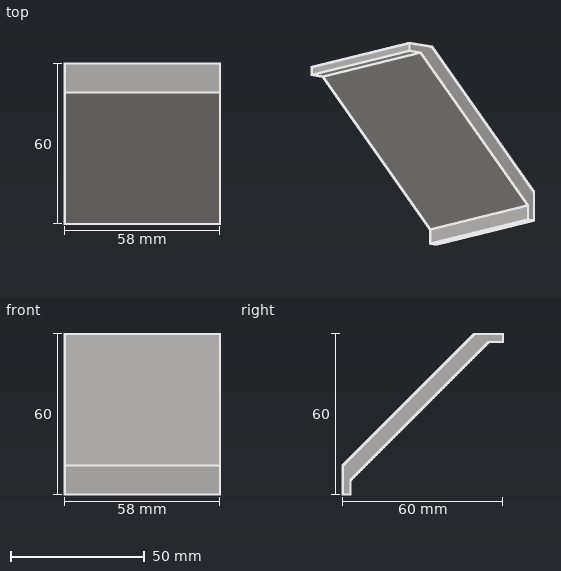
import cadquery as cq
import math

width = 58.0
span = 60.0
flange_length = 10.85
flange_thickness = 3.0
web_thickness = 6.0

inner_length = flange_length + flange_thickness - web_thickness * math.sqrt(2)

front = -span / 2
back = span / 2
bottom = -span / 2
top = span / 2

profile = [
    (back, top),
    (back - flange_length, top),
    (front, bottom + flange_length),
    (front, bottom),
    (front + flange_thickness, bottom),
    (front + flange_thickness, bottom + inner_length),
    (back - inner_length, top - flange_thickness),
    (back, top - flange_thickness),
]

result = cq.Workplane("YZ").polyline(profile).close().extrude(width / 2, both=True)